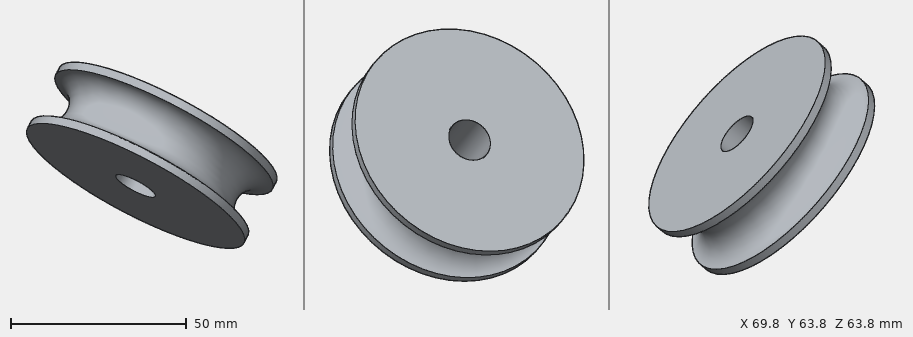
import cadquery as cq

OUTER_DIAMETER = 69.85
WIDTH = 20.32
BORE_DIAMETER = 12.7
RIM_WIDTH = 2.54
AXLE_DIRECTION = (0, 1, 1)

outer_radius = OUTER_DIAMETER / 2
groove_radius = WIDTH / 2 - RIM_WIDTH


def make_wheel(axle_plane):
    """Plain disc with its axle bore, centred on the plane's origin."""
    section = cq.Workplane(axle_plane).circle(outer_radius).circle(BORE_DIAMETER / 2)
    return section.extrude(WIDTH / 2, both=True)


def make_groove(axle_plane):
    """Ring of round section, centred on the rim, that cuts a semicircular groove."""
    ring = cq.Solid.makeTorus(
        outer_radius, groove_radius, axle_plane.origin, axle_plane.zDir
    )
    return cq.Workplane(obj=ring)


axle_plane = cq.Plane(origin=(0, 0, 0), xDir=(1, 0, 0), normal=AXLE_DIRECTION)
result = make_wheel(axle_plane).cut(make_groove(axle_plane))